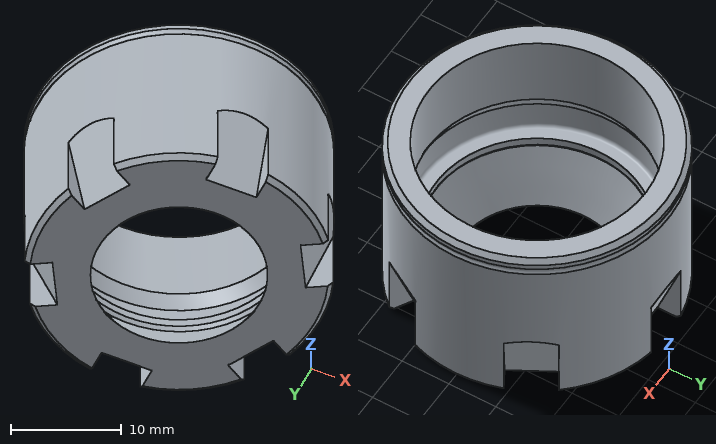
import cadquery as cq
import math

outer_radius = 28.0 / 2
height = 19.0
edge_chamfer = 0.5

groove_flank_angle = 30.0
groove_floor_radius = 0.35
groove_width = 0.75
groove_center_z = height - 1.42

thread_radius = 22.92 / 2
thread_bottom_z = 11.0
relief_radius = 24.3 / 2
relief_top_z = 9.48
relief_floor_z = 6.4
relief_fillet = 0.4
seat_radius = 21.3 / 2
seat_bottom_z = 5.5
cone_half_angle = 30.0
cone_bottom_radius = 16.0 / 2

cone_slope = math.tan(math.radians(cone_half_angle))
undercut_height = seat_bottom_z - (seat_radius - cone_bottom_radius) / cone_slope
undercut_root_z = seat_bottom_z - undercut_height / 2
undercut_radius = seat_radius + undercut_height / 2 * cone_slope

notch_count = 6
notch_width = 5.0
notch_height = 7.55
notch_angle = 20.0
first_notch_direction = -90.0


def revolve_about_axis(profile):
    """Revolve a closed (radius, z) profile about the part's Z axis."""
    return profile.close().revolve(360, (0, 0, 0), (0, 1, 0))


def make_body():
    blank = cq.Workplane("XY").circle(outer_radius).extrude(height)
    return blank.faces("<Z or >Z").chamfer(edge_chamfer)


def make_groove():
    """Ring with a V-shaped section whose sloping flanks are tangent to a round floor."""
    flank_angle = math.radians(groove_flank_angle)
    half_width = groove_width / 2
    arc_half_width = groove_floor_radius * math.sin(flank_angle)
    flank_depth = (half_width - arc_half_width) * math.tan(flank_angle)
    arc_end_radius = outer_radius - flank_depth
    profile = (
        cq.Workplane("XZ")
        .moveTo(outer_radius, groove_center_z - half_width)
        .lineTo(arc_end_radius, groove_center_z - arc_half_width)
        .radiusArc((arc_end_radius, groove_center_z + arc_half_width), groove_floor_radius)
        .lineTo(outer_radius, groove_center_z + half_width)
    )
    return revolve_about_axis(profile)


def make_bore():
    """Thread bore, relief with a rounded floor corner, seat, undercut and open cone."""
    profile = (
        cq.Workplane("XZ")
        .moveTo(0, 0)
        .lineTo(cone_bottom_radius, 0)
        .lineTo(undercut_radius, undercut_root_z)
        .lineTo(seat_radius, seat_bottom_z)
        .lineTo(seat_radius, relief_floor_z)
        .lineTo(relief_radius - relief_fillet, relief_floor_z)
        .radiusArc((relief_radius, relief_floor_z + relief_fillet), -relief_fillet)
        .lineTo(relief_radius, relief_top_z)
        .lineTo(thread_radius, thread_bottom_z)
        .lineTo(thread_radius, height)
        .lineTo(0, height)
    )
    return revolve_about_axis(profile)


def make_notch():
    """Wedge on the +X side whose floor leans inward towards the bottom."""
    notch_depth = notch_height * math.tan(math.radians(notch_angle))
    return (
        cq.Workplane("XZ")
        .moveTo(outer_radius - notch_depth, 0)
        .lineTo(outer_radius, 0)
        .lineTo(outer_radius, notch_height)
        .close()
        .extrude(notch_width / 2, both=True)
    )


result = make_body().cut(make_groove()).cut(make_bore())
for index in range(notch_count):
    direction = first_notch_direction + index * 360 / notch_count
    result = result.cut(make_notch().rotate((0, 0, 0), (0, 0, 1), direction))